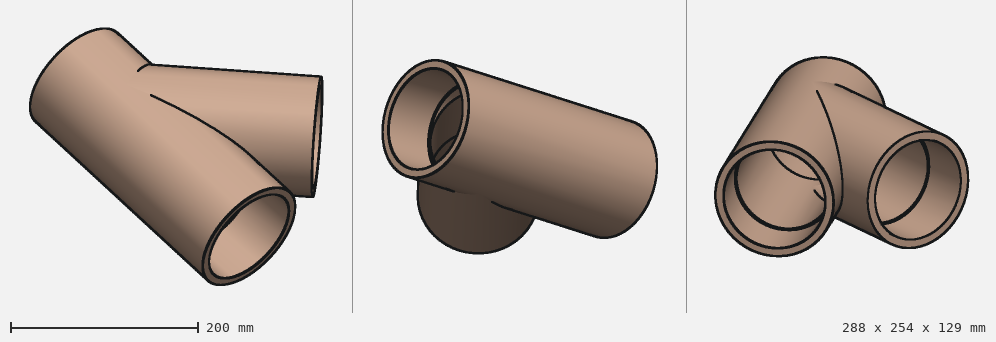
import cadquery as cq

run_length = 288.0
outer_diameter = 129.0
bore_diameter = 106.0
socket_diameter = 110.0
socket_depth = 60.5
rim_chamfer = 0.5
branch_angle = 45.0
branch_length = 203.5
crossing_x = 84.0


def cylinder_along(axis_plane, diameter, start, length):
    """Cylinder on the plane's normal, beginning at start along it."""
    return axis_plane.workplane(offset=start).circle(diameter / 2).extrude(length)


def run_cylinder(diameter, start, length):
    """Cylinder on the straight run, measured from its left end."""
    return cylinder_along(cq.Workplane("YZ"), diameter, start, length)


def branch_cylinder(diameter, start, length):
    """Cylinder on the slanted branch, measured from the axis crossing."""
    plane = cq.Plane(origin=(crossing_x, 0, 0), xDir=(0, 0, 1), normal=(1, 0, 0))
    plane = plane.rotated((branch_angle, 0, 0))
    return cylinder_along(cq.Workplane(plane), diameter, start, length)


body = run_cylinder(outer_diameter, 0, run_length)
body = body.union(branch_cylinder(outer_diameter, 0, branch_length))

body = body.cut(run_cylinder(bore_diameter, 0, run_length))
body = body.cut(branch_cylinder(bore_diameter, 0, branch_length))

body = body.cut(run_cylinder(socket_diameter, 0, socket_depth))
body = body.cut(run_cylinder(socket_diameter, run_length - socket_depth, socket_depth))
body = body.cut(branch_cylinder(socket_diameter, branch_length - socket_depth, socket_depth))

result = body.faces("<X or >X").edges("%CIRCLE").chamfer(rim_chamfer)